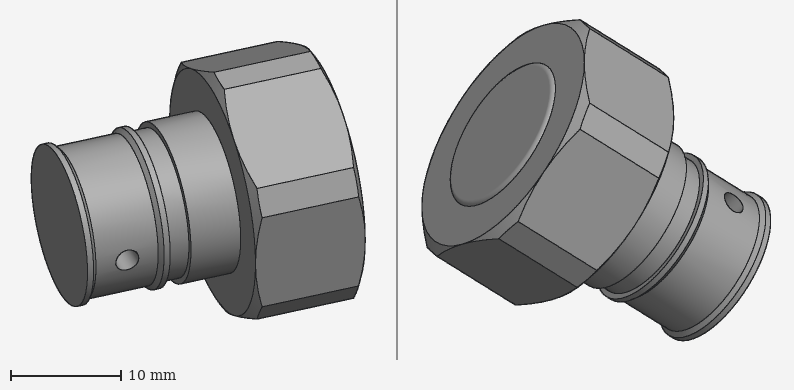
import cadquery as cq
import math

total_length = 25.7
end_rim_edge = 0.6
end_rim_back = 0.98
middle_rim_front = 7.0
middle_rim_edge = 7.4
middle_rim_back = 8.0
collar_front = 10.0
nut_front = 14.8
nut_back = 25.42

collar_diameter = 15.1
groove_diameter = 14.0
neck_diameter = 14.2
back_boss_diameter = 14.95
back_boss_rounding = 0.51

nut_across_flats = 23.03
nut_across_corners = 25.0
nut_chamfer_angle = 31.0
nut_sides = 6
side_angle = 360 / nut_sides
flat_to_corner = 1 / math.cos(math.pi / nut_sides)

cross_hole_diameter = 2.2
cross_hole_position = 4.0


def revolve_about_y(profile):
    """Revolve a closed (radius, y) outline about the Y axis."""
    return cq.Workplane("XY").polyline(profile).close().revolve(360, (0, 0, 0), (0, 1, 0))


def prism_along_y(across_flats, corner_angle):
    """Hexagonal prism spanning the nut length, with one corner at corner_angle from X."""
    corner_radius = across_flats / 2 * flat_to_corner
    angles = [math.radians(corner_angle + side_angle * i) for i in range(nut_sides)]
    corners = [(corner_radius * math.cos(a), corner_radius * math.sin(a)) for a in angles]
    return (
        cq.Workplane("XZ", origin=(0, nut_back, 0))
        .polyline(corners)
        .close()
        .extrude(nut_back - nut_front)
    )


def make_nut():
    """Hexagon with flats facing X, flattened corners and conical chamfers at both ends."""
    hexagon = prism_along_y(nut_across_flats, side_angle / 2)
    corner_flats = prism_along_y(nut_across_corners, 0)

    face_radius = nut_across_flats / 2
    outer_radius = nut_across_corners / 2 * flat_to_corner
    chamfer_length = (outer_radius - face_radius) * math.tan(math.radians(nut_chamfer_angle))
    chamfer_envelope = revolve_about_y([
        (0, nut_front),
        (face_radius, nut_front),
        (outer_radius, nut_front + chamfer_length),
        (outer_radius, nut_back - chamfer_length),
        (face_radius, nut_back),
        (0, nut_back),
    ])
    return hexagon.intersect(corner_flats).intersect(chamfer_envelope)


def make_spigot():
    """Solid stepped spigot with two chamfered rims, running through the nut to a rounded back boss."""
    collar_radius = collar_diameter / 2
    groove_radius = groove_diameter / 2
    neck_radius = neck_diameter / 2
    stepped_body = revolve_about_y([
        (0, 0),
        (collar_radius, 0),
        (collar_radius, end_rim_edge),
        (neck_radius, end_rim_back),
        (neck_radius, middle_rim_front),
        (collar_radius, middle_rim_edge),
        (collar_radius, middle_rim_back),
        (groove_radius, middle_rim_back),
        (groove_radius, collar_front),
        (collar_radius, collar_front),
        (collar_radius, nut_front),
        (back_boss_diameter / 2, nut_front),
        (back_boss_diameter / 2, total_length),
        (0, total_length),
    ])
    return stepped_body.faces(">Y").edges().fillet(back_boss_rounding)


def make_cross_hole():
    """Cutter for the hole running along X through the whole neck."""
    return (
        cq.Workplane("YZ")
        .center(cross_hole_position, 0)
        .circle(cross_hole_diameter / 2)
        .extrude(collar_diameter, both=True)
    )


result = make_spigot().union(make_nut()).cut(make_cross_hole())